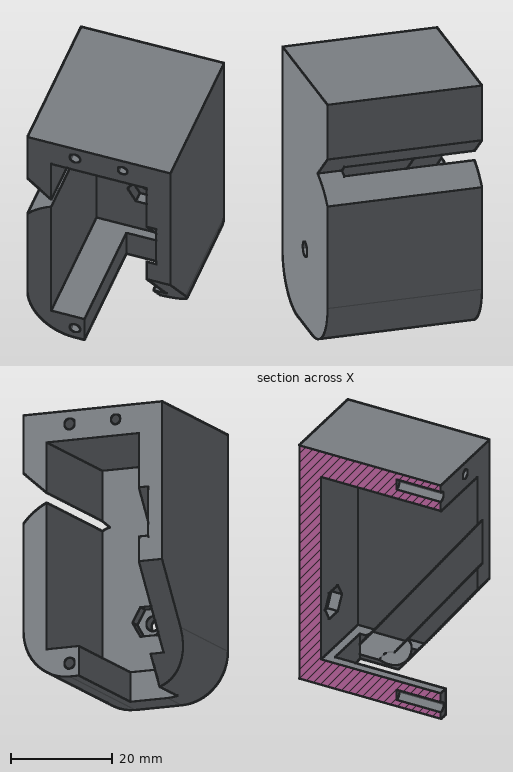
import cadquery as cq
import math

width = 30.0
depth = 32.0
height = 54.0
corner_radius = 10.0

side_wall = 5.0
back_wall = 5.0
end_wall = 6.0
cavity_depth = depth - back_wall
cavity_right = width - side_wall

slot_left = 12.0
slot_right = 22.2
slot_depth = 25.0

slant_rate = 4 / 3
undercut_front_z = 22.0
undercut_run = undercut_front_z / slant_rate

groove_front_low = 27.0
groove_front_high = 37.0
groove_right = cavity_right + 2.0
groove_floor_z = 4.0
groove_floor_tilt = 30.0

hollow_radius = 5.6
hollow_center = (20.0, 18.5, end_wall)

notch_high_z = height - 11.8
notch_tip = (6.6, height - 17.6)
notch_bulge = (2.75, height - 19.5)
notch_low_z = height - 22.0

rim_hole_inset = 2.7
rim_hole_depth = 10.0
left_hole_x = 10.0
right_hole_x = 20.0
wide_hole = 2.2
narrow_hole = 2.0

bolt_x = width / 2
bolt_z = 16.5
bolt_hole = 3.0
nut_across_flats = 6.0
nut_pocket_depth = 2.4


def box(x0, x1, y0, y1, z0, z1):
    """Box between two opposite corners."""
    return cq.Workplane("XY").box(x1 - x0, y1 - y0, z1 - z0, centered=False).translate((x0, y0, z0))


def side_prism(points, x0, x1):
    """Prism with a (y, z) outline, running from x0 to x1."""
    return cq.Workplane("YZ", origin=(x0, 0, 0)).polyline(points).close().extrude(x1 - x0)


def front_prism(points):
    """Prism with an (x, z) outline, running through the full depth."""
    return cq.Workplane("XZ").polyline(points).close().extrude(-depth)


def round_hole(x, z, diameter, start, length):
    """Round cutter running backwards from y = start."""
    return cq.Workplane("XZ", origin=(x, start, z)).circle(diameter / 2).extrude(-length)


def undercut():
    points = [(0, 0), (0, undercut_front_z), (undercut_run, 0)]
    return side_prism(points, slot_right, width)


def groove():
    drop = slant_rate * depth
    slanted_bar = side_prism(
        [
            (0, groove_front_low),
            (0, groove_front_high),
            (depth, groove_front_high - drop),
            (depth, groove_front_low - drop),
        ],
        slot_right,
        groove_right,
    )
    floor_drop = (groove_right - slot_right) * math.tan(math.radians(groove_floor_tilt))
    above_floor = front_prism(
        [
            (slot_right, groove_floor_z - floor_drop),
            (groove_right, groove_floor_z),
            (groove_right, height),
            (slot_right, height),
        ]
    )
    return slanted_bar.intersect(above_floor)


def hollow():
    return cq.Workplane("XY").sphere(hollow_radius).translate(hollow_center)


def notch():
    return (
        cq.Workplane("XZ")
        .moveTo(0, notch_high_z)
        .lineTo(*notch_tip)
        .threePointArc(notch_bulge, (0, notch_low_z))
        .close()
        .extrude(-depth)
    )


def nut_pocket():
    across_corners = nut_across_flats / math.cos(math.radians(30))
    return (
        cq.Workplane("XZ", origin=(bolt_x, cavity_depth, bolt_z))
        .polygon(6, across_corners)
        .extrude(-nut_pocket_depth)
    )


result = box(0, width, 0, depth, 0, height).edges("|Y and <Z").fillet(corner_radius)
result = result.cut(box(side_wall, cavity_right, 0, cavity_depth, end_wall, height - end_wall))
result = result.cut(box(slot_left, slot_right, 0, slot_depth, 0, end_wall))

result = result.cut(undercut())
result = result.cut(groove())
result = result.cut(hollow())
result = result.cut(notch())

rim_holes = [
    (left_hole_x, height - rim_hole_inset, wide_hole),
    (right_hole_x, height - rim_hole_inset, narrow_hole),
    (left_hole_x, rim_hole_inset, wide_hole),
]
for hole_x, hole_z, diameter in rim_holes:
    result = result.cut(round_hole(hole_x, hole_z, diameter, 0, rim_hole_depth))

result = result.cut(nut_pocket())
result = result.cut(round_hole(bolt_x, bolt_z, bolt_hole, cavity_depth, back_wall))